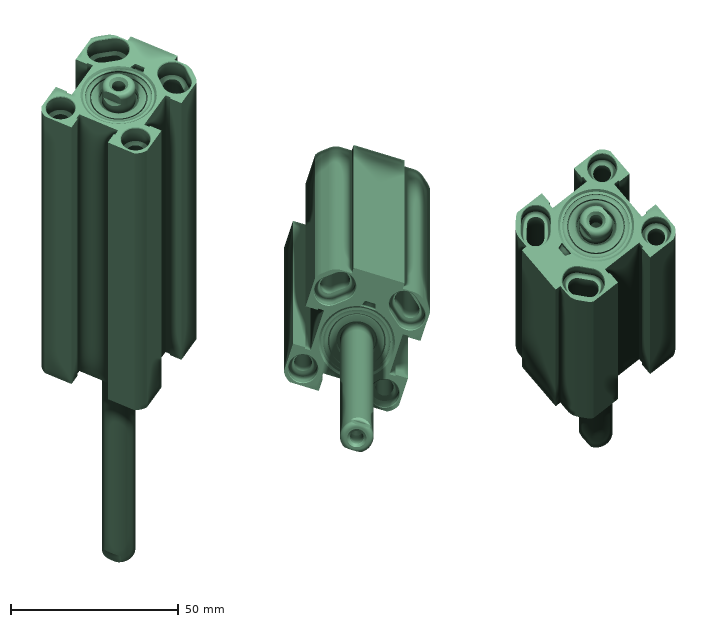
import cadquery as cq
import math

TOTAL_LENGTH = 213.0
HOUSING_LENGTH = 117.0
ROD_TOP_REACH = 5.0
ROD_TOP = HOUSING_LENGTH + ROD_TOP_REACH
ROD_BOTTOM = ROD_TOP - TOTAL_LENGTH

HALF_WIDTH = 36.0 / 2
PORT_PAD_REACH = 40.0 - HALF_WIDTH
PORT_PAD_WIDTH = 16.0
EAR_REACH = 20.2
LOWER_CORNER_RADIUS = 5.8
EAR_RADIUS = 6.0
EAR_FILLET = 5.1

HOLE_OFFSET = 12.8
HOLE_DIAMETER = 5.3
COUNTERBORE_DIAMETER = 8.7
COUNTERBORE_CHAMFER = 0.2
COUNTERBORE_DEPTH = 6.0
SLOT_SHIFT_X = 3.0
SLOT_SHIFT_Y = 2.5
SLOT_CENTER_DISTANCE = math.hypot(SLOT_SHIFT_X, SLOT_SHIFT_Y)
SLOT_ANGLE = math.degrees(math.atan2(SLOT_SHIFT_Y, -SLOT_SHIFT_X))

GROOVE_MOUTH_WIDTH = 12.4
GROOVE_INNER_WIDTH = 13.2
GROOVE_FLOOR = 12.4
GROOVE_LIP = 3.8

BORE_DIAMETER = 20.0
MOUTH_DIAMETER = 22.8
MOUTH_DEPTH = 0.6
RING_DIAMETER = 21.5
RING_DEPTH = 1.3
RING_THICKNESS = 1.0
RING_TOP = HOUSING_LENGTH - RING_DEPTH
RING_BOTTOM = RING_TOP - RING_THICKNESS
RING_INNER_DIAMETER = 17.3

NOTCH_REACH = 13.2
NOTCH_START = 11.3
NOTCH_DEPTH = 2.1
NOTCH_OUTER_WIDTH = 3.2
NOTCH_BASE_WIDTH = 4.5

COLLAR_LENGTH = 10.6
COLLAR_BOSS_DIAMETER = 16.5
COLLAR_RECESS_DIAMETER = 11.5
COLLAR_RECESS_DEPTH = 1.3
COLLAR_RECESS_CHAMFER = 0.5

ROD_DIAMETER = 10.0
ROD_FILLET = 1.5
FLAT_SPACING = 8.0
FLAT_LENGTH = 3.6
FLAT_RUNOUT = (ROD_DIAMETER - FLAT_SPACING) / 2
THREAD_DIAMETER = 4.0
THREAD_MOUTH_DIAMETER = 5.8
THREAD_DEPTH = 8.5
DRILL_POINT_ANGLE = 118.0


def cylinder(diameter, bottom, top):
    return cq.Workplane("XY").workplane(offset=bottom).circle(diameter / 2).extrude(top - bottom)


def cone(lower_diameter, upper_diameter, bottom, top):
    solid = cq.Solid.makeCone(lower_diameter / 2, upper_diameter / 2, top - bottom, pnt=cq.Vector(0, 0, bottom))
    return cq.Workplane("XY").add(solid)


def other_end(shape, middle=HOUSING_LENGTH / 2):
    """Mirror image of a shape at the opposite end along Z."""
    return shape.mirror("XY", (0, 0, middle))


def at_both_ends(shape):
    return shape.union(other_end(shape))


def hole_outline(diameter, height):
    """Outline at the height Z around a round hole in the -X, -Y corner."""
    return (
        cq.Workplane("XY").workplane(offset=height)
        .center(-HOLE_OFFSET, -HOLE_OFFSET)
        .circle(diameter / 2)
    )


def slot_outline(diameter, height):
    """Outline at the height Z around a slanted slot in the +X, +Y corner."""
    return (
        cq.Workplane("XY").workplane(offset=height)
        .center(HOLE_OFFSET - SLOT_SHIFT_X / 2, HOLE_OFFSET + SLOT_SHIFT_Y / 2)
        .slot2D(SLOT_CENTER_DISTANCE + diameter, diameter, SLOT_ANGLE)
    )


def both_sides(shape):
    return shape.union(shape.mirror("YZ"))


def housing_blank():
    """Solid profile with corners rounded about the mounting holes, and a port pad at +Y."""
    width = 2 * HALF_WIDTH
    envelope = (
        cq.Workplane("XY")
        .center(0, (EAR_REACH - HALF_WIDTH) / 2)
        .rect(width, EAR_REACH + HALF_WIDTH)
        .extrude(HOUSING_LENGTH)
    )
    corners = both_sides(
        hole_outline(2 * LOWER_CORNER_RADIUS, 0).extrude(HOUSING_LENGTH)
    ).union(both_sides(slot_outline(2 * EAR_RADIUS, 0).extrude(HOUSING_LENGTH)))
    cross = (
        cq.Workplane("XY").rect(width, 2 * HOLE_OFFSET).extrude(HOUSING_LENGTH)
        .union(cq.Workplane("XY").rect(2 * HOLE_OFFSET, width).extrude(HOUSING_LENGTH))
    )
    port_pad = (
        cq.Workplane("XY")
        .center(0, PORT_PAD_REACH / 2)
        .rect(PORT_PAD_WIDTH, PORT_PAD_REACH)
        .extrude(HOUSING_LENGTH)
    )
    rounded = cross.union(corners).intersect(envelope)
    ear_edges = rounded.faces(">Y").edges("|Z and (>X or <X)")
    return rounded.newObject(ear_edges.vals()).fillet(EAR_FILLET).union(port_pad)


def sensor_groove():
    """Groove in the -Y side, wider behind its lips."""
    mouth_half = GROOVE_MOUTH_WIDTH / 2
    inner_half = GROOVE_INNER_WIDTH / 2
    lip_back = -HALF_WIDTH + GROOVE_LIP
    return (
        cq.Workplane("XY")
        .moveTo(-mouth_half, -HALF_WIDTH)
        .lineTo(-mouth_half, lip_back)
        .lineTo(-inner_half, lip_back)
        .lineTo(-inner_half, -GROOVE_FLOOR)
        .lineTo(inner_half, -GROOVE_FLOOR)
        .lineTo(inner_half, lip_back)
        .lineTo(mouth_half, lip_back)
        .lineTo(mouth_half, -HALF_WIDTH)
        .close()
        .extrude(HOUSING_LENGTH)
    )


def mounting_hole(outline):
    """Through hole with a chamfered counterbore at each end, on both sides of the bore."""
    counterbore = outline(COUNTERBORE_DIAMETER, HOUSING_LENGTH - COUNTERBORE_DEPTH).extrude(COUNTERBORE_DEPTH)
    flare = (
        outline(COUNTERBORE_DIAMETER + 2 * COUNTERBORE_CHAMFER, HOUSING_LENGTH)
        .extrude(-COUNTERBORE_CHAMFER, taper=45)
    )
    through = outline(HOLE_DIAMETER, 0).extrude(HOUSING_LENGTH)
    return both_sides(through.union(at_both_ends(counterbore.union(flare))))


def bore_end():
    """Groove for the retaining ring and a conical mouth with a notch at +Y."""
    seat = cylinder(RING_DIAMETER, RING_BOTTOM, RING_TOP)
    mouth = cone(RING_DIAMETER, MOUTH_DIAMETER, HOUSING_LENGTH - MOUTH_DEPTH, HOUSING_LENGTH)
    base_half = NOTCH_BASE_WIDTH / 2
    outer_half = NOTCH_OUTER_WIDTH / 2
    notch = (
        cq.Workplane("XY").workplane(offset=HOUSING_LENGTH - NOTCH_DEPTH)
        .moveTo(-base_half, NOTCH_START)
        .lineTo(-outer_half, NOTCH_REACH)
        .lineTo(outer_half, NOTCH_REACH)
        .lineTo(base_half, NOTCH_START)
        .close()
        .extrude(NOTCH_DEPTH)
    )
    return seat.union(mouth).union(notch)


def make_housing():
    housing = housing_blank()
    for angle in (-90, 0, 90):
        housing = housing.cut(sensor_groove().rotate((0, 0, 0), (0, 0, 1), angle))
    for outline in (hole_outline, slot_outline):
        housing = housing.cut(mounting_hole(outline))
    return housing.cut(cylinder(BORE_DIAMETER, 0, HOUSING_LENGTH)).cut(at_both_ends(bore_end()))


def make_retaining_ring():
    ring = cylinder(RING_DIAMETER, RING_BOTTOM, RING_TOP)
    return ring.cut(cylinder(RING_INNER_DIAMETER, RING_BOTTOM, RING_TOP))


def make_collar():
    """Rod guide in the bore, with a boss through the retaining ring and a chamfered recess around the rod."""
    bottom = RING_BOTTOM - COLLAR_LENGTH
    rim_diameter = COLLAR_RECESS_DIAMETER + 2 * COLLAR_RECESS_CHAMFER
    return (
        cylinder(BORE_DIAMETER, bottom, RING_BOTTOM)
        .union(cylinder(COLLAR_BOSS_DIAMETER, RING_BOTTOM, RING_TOP))
        .cut(cylinder(ROD_DIAMETER, bottom, RING_TOP))
        .cut(cylinder(COLLAR_RECESS_DIAMETER, RING_TOP - COLLAR_RECESS_DEPTH, RING_TOP))
        .cut(cone(COLLAR_RECESS_DIAMETER, rim_diameter, RING_TOP - COLLAR_RECESS_CHAMFER, RING_TOP))
    )


def thread_hole():
    """Blind hole with a countersunk mouth and a drill point."""
    floor = ROD_TOP - THREAD_DEPTH
    point_length = THREAD_DIAMETER / 2 / math.tan(math.radians(DRILL_POINT_ANGLE / 2))
    countersink_depth = (THREAD_MOUTH_DIAMETER - THREAD_DIAMETER) / 2
    return (
        cylinder(THREAD_DIAMETER, floor, ROD_TOP)
        .union(cone(0, THREAD_DIAMETER, floor - point_length, floor))
        .union(cone(THREAD_DIAMETER, THREAD_MOUTH_DIAMETER, ROD_TOP - countersink_depth, ROD_TOP))
    )


def wrench_flats():
    """Two blocks that leave flats facing +Y and -Y at the top of the rod, ending in 45 degree run-outs."""
    flat_half = FLAT_SPACING / 2
    rod_radius = ROD_DIAMETER / 2
    flat_bottom = ROD_TOP - FLAT_LENGTH
    block = (
        cq.Workplane("YZ").workplane(offset=-rod_radius)
        .moveTo(flat_half, ROD_TOP)
        .lineTo(flat_half, flat_bottom)
        .lineTo(rod_radius, flat_bottom - FLAT_RUNOUT)
        .lineTo(rod_radius, ROD_TOP)
        .close()
        .extrude(ROD_DIAMETER)
    )
    return block.union(block.mirror("XZ"))


def make_rod():
    rod = cylinder(ROD_DIAMETER, ROD_BOTTOM, ROD_TOP).faces("<Z or >Z").edges().fillet(ROD_FILLET)
    rod_middle = (ROD_TOP + ROD_BOTTOM) / 2
    for cutter in (wrench_flats(), thread_hole()):
        rod = rod.cut(cutter).cut(other_end(cutter, rod_middle))
    return rod


housing = make_housing()
rod = make_rod()
end_bodies = []
for make_body in (make_retaining_ring, make_collar):
    body = make_body()
    end_bodies += [body.val(), other_end(body).val()]

result = cq.Compound.makeCompound([housing.val(), rod.val(), *end_bodies])